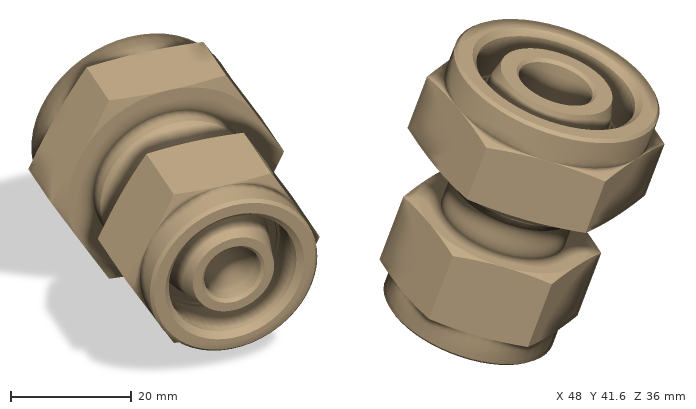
import cadquery as cq
import math

total_length = 47.95

large_across_flats = 36.0
large_collar_radius = large_across_flats / 2
large_collar_length = 5.6
large_nut_length = 17.5

small_across_flats = 30.0
small_collar_radius = 14.9
small_collar_length = 5.1
small_nut_length = 19.05

collar_chamfer = 0.55
hex_sides = 6
hex_chamfer_angle = 15.0
mouth_chamfer = 1.0
bore_clearance = 0.45
shoulder_depth = 8.65

large_barrel_radius = 13.45
small_barrel_radius = 10.95
barrel_end = 20.65
body_face_depth = 9.25
nozzle_recess = 0.58
nozzle_half_angle = 15.0
large_tip_radius = 9.8
barrel_step = large_barrel_radius - small_barrel_radius
small_tip_radius = large_tip_radius - barrel_step

cone_length = 3.1
land_radius = 10.8
land_end = 4.7
root_start_radius = 11.15
root_end_radius = 11.8

large_bore_radius = 6.45
small_bore_radius = 5.05
bore_chamfer = 0.55
large_bore_depth = 19.2
bore_taper_angle = 60.0


def rise(run, angle):
    """Height gained over a run along a slope of the given angle in degrees."""
    return run * math.tan(math.radians(angle))


def revolve_about_x(points):
    """Solid of revolution about X from (x, radius) points."""
    return cq.Workplane("XY").polyline(points).close().revolve(360, (0, 0, 0), (1, 0, 0))


def hex_section(across_flats, start, end):
    """Hexagonal prism along X, flats on top and bottom, with both ends chamfered conically."""
    flat_radius = across_flats / 2
    corner_radius = flat_radius / math.cos(math.pi / hex_sides)
    chamfer_run = rise(corner_radius - flat_radius, hex_chamfer_angle)
    start_plane = cq.Workplane("YZ").workplane(offset=start)
    prism = start_plane.polygon(hex_sides, 2 * corner_radius).extrude(end - start)
    envelope = revolve_about_x([
        (start, 0),
        (start, flat_radius),
        (start + chamfer_run, corner_radius),
        (end - chamfer_run, corner_radius),
        (end, flat_radius),
        (end, 0),
    ])
    return prism.intersect(envelope)


def union_nut(across_flats, collar_radius, collar_length, length, barrel_radius):
    """Union nut with its open end at X = 0 and its lip, fitting the barrel, at X = length."""
    bore_radius = barrel_radius + bore_clearance
    collar = revolve_about_x([
        (0, 0),
        (0, collar_radius - collar_chamfer),
        (collar_chamfer, collar_radius),
        (collar_length, collar_radius),
        (collar_length, 0),
    ])
    cavity = revolve_about_x([
        (0, 0),
        (0, bore_radius + mouth_chamfer),
        (mouth_chamfer, bore_radius),
        (shoulder_depth, bore_radius),
        (shoulder_depth, barrel_radius),
        (length, barrel_radius),
        (length, 0),
    ])
    return collar.union(hex_section(across_flats, collar_length, length)).cut(cavity)


def turned_end_for_end(nut):
    """Mirror a nut end for end, so that its open end lies at X = total_length."""
    return nut.mirror("YZ").translate((total_length, 0, 0))


def fitting_body():
    """Two barrels joined by a taper, a conical nozzle at each end and a stepped bore."""
    large_tip = nozzle_recess
    small_tip = total_length - nozzle_recess
    large_face = body_face_depth
    small_face = total_length - body_face_depth
    small_root_radius = small_tip_radius + rise(small_tip - small_face, nozzle_half_angle)
    outer = revolve_about_x([
        (large_tip, 0),
        (large_tip, large_tip_radius),
        (large_tip + cone_length, large_tip_radius + rise(cone_length, nozzle_half_angle)),
        (large_tip + land_end, land_radius),
        (large_tip + land_end, root_start_radius),
        (large_face, root_end_radius),
        (large_face, large_barrel_radius),
        (barrel_end, large_barrel_radius),
        (barrel_end + barrel_step, small_barrel_radius),
        (small_face, small_barrel_radius),
        (small_face, small_root_radius),
        (small_tip, small_tip_radius),
        (small_tip, 0),
    ])
    taper_run = (large_bore_radius - small_bore_radius) / math.tan(math.radians(bore_taper_angle))
    taper_start = large_tip + large_bore_depth
    bore = revolve_about_x([
        (large_tip, 0),
        (large_tip, large_bore_radius + bore_chamfer),
        (large_tip + bore_chamfer, large_bore_radius),
        (taper_start, large_bore_radius),
        (taper_start + taper_run, small_bore_radius),
        (small_tip - bore_chamfer, small_bore_radius),
        (small_tip, small_bore_radius + bore_chamfer),
        (small_tip, 0),
    ])
    return outer.cut(bore)


body = fitting_body()
large_nut = union_nut(
    large_across_flats, large_collar_radius, large_collar_length, large_nut_length, large_barrel_radius
)
small_nut = turned_end_for_end(union_nut(
    small_across_flats, small_collar_radius, small_collar_length, small_nut_length, small_barrel_radius
))

result = cq.Compound.makeCompound([body.val(), large_nut.val(), small_nut.val()])